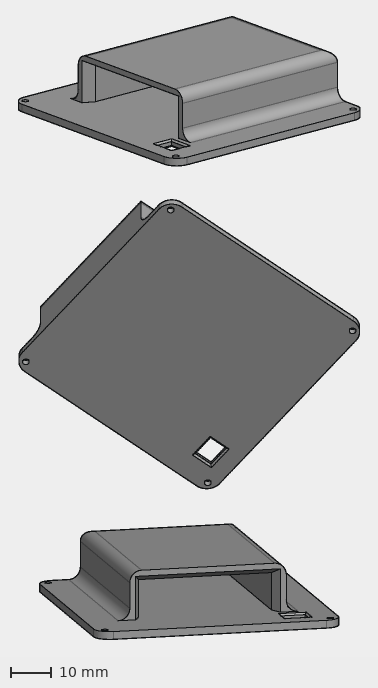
import cadquery as cq

plate_side = 62.0
plate_thickness = 2.0
corner_radius = 4.0
screw_hole_diameter = 1.6
screw_hole_inset = 2.4

total_height = 14.4
hood_width = 39.7
hood_length = 50.0
blend_radius = 3.0
wall_thickness = 3.0
mouth_wall_thickness = 1.5
mouth_taper_depth = 3.0

window_x = 21.0
window_y = -23.5
window_width = 6.0
window_length = 4.95
window_bevel = 0.5

plate_back = plate_side / 2
hood_front = plate_back - hood_length
hood_height = total_height - plate_thickness


def make_plate():
    plate = cq.Workplane("XY").box(plate_side, plate_side, plate_thickness, centered=(True, True, False))
    plate = plate.edges("|Z").fillet(corner_radius)
    hole_spacing = plate_side - 2 * screw_hole_inset
    return (
        plate.faces(">Z").workplane()
        .rect(hole_spacing, hole_spacing, forConstruction=True).vertices()
        .hole(screw_hole_diameter)
    )


def make_hood():
    """Block with rounded top edges at the sides and back."""
    block = (
        cq.Workplane("XY")
        .box(hood_width, hood_length, hood_height, centered=(True, False, False))
        .translate((0, hood_front, plate_thickness))
    )
    return block.faces(">Z").edges("not <Y").fillet(blend_radius)


def make_side_blend(side):
    """Concave strip joining one hood wall to the plate; side is -1 or 1."""
    wall_x = side * hood_width / 2
    outer_x = wall_x + side * blend_radius
    arc_mid_offset = blend_radius * 0.5 ** 0.5
    blend_top = plate_thickness + blend_radius
    return (
        cq.Workplane("XZ", origin=(0, plate_back, 0))
        .moveTo(wall_x, plate_thickness)
        .lineTo(outer_x, plate_thickness)
        .threePointArc((outer_x - side * arc_mid_offset, blend_top - arc_mid_offset), (wall_x, blend_top))
        .close()
        .extrude(hood_length)
    )


def cavity_section(y, wall):
    """Cavity outline at depth y, leaving the given wall at the sides and top."""
    width = hood_width - 2 * wall
    height = hood_height - wall
    return (
        cq.Workplane("XZ", origin=(0, y, plate_thickness))
        .center(0, height / 2)
        .rect(width, height)
    )


def make_cavity():
    taper_end = hood_front + mouth_taper_depth
    main_depth = hood_length - mouth_taper_depth - wall_thickness
    main = cavity_section(taper_end, wall_thickness).extrude(-main_depth)
    mouth_wire = cavity_section(hood_front, mouth_wall_thickness).val()
    inner_wire = cavity_section(taper_end, wall_thickness).val()
    mouth = cq.Solid.makeLoft([mouth_wire, inner_wire], True)
    return main.union(cq.Workplane(obj=mouth))


def make_window_bevel(face_z, inward):
    """Bevel widening the window at the plate face at face_z; inward is the Z direction into the plate."""
    return (
        cq.Workplane("XY", origin=(window_x, window_y, face_z))
        .rect(window_width + 2 * window_bevel, window_length + 2 * window_bevel)
        .workplane(offset=inward * window_bevel)
        .rect(window_width, window_length)
        .loft(ruled=True)
    )


def make_window():
    """Through opening, bevelled at both plate faces."""
    opening = (
        cq.Workplane("XY", origin=(window_x, window_y, 0))
        .rect(window_width, window_length)
        .extrude(plate_thickness)
    )
    return opening.union(make_window_bevel(plate_thickness, -1)).union(make_window_bevel(0, 1))


result = make_plate().union(make_hood())
for side in (-1, 1):
    result = result.union(make_side_blend(side))
result = result.cut(make_cavity()).cut(make_window())